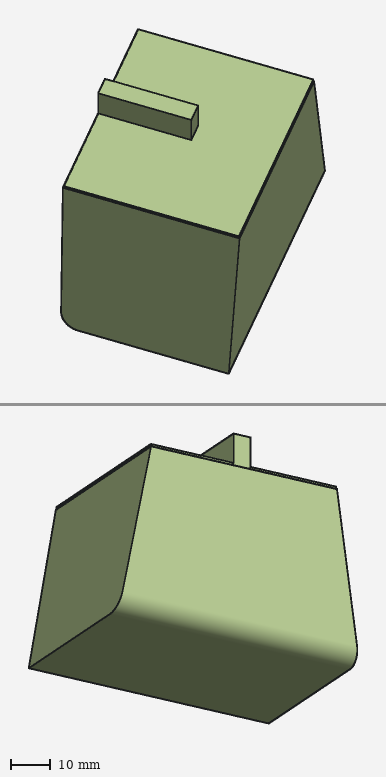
import cadquery as cq

length = 47.4
base_width = 70.0
top_width = 54.2
housing_height = 45.0
front_setback = 2.4
front_radius = 4.9

total_height = 53.75
lid_thickness = 0.7
lid_inset = 0.2
lid_side_inset = 0.1
grip_length = 25.0
grip_width = 5.0
grip_offset = 0.5

lid_length = length - 2 * lid_inset
lid_width = top_width - 2 * lid_side_inset
lid_top = housing_height + lid_thickness
grip_height = total_height - lid_top


def make_housing():
    """Block whose side walls and front wall taper."""
    side_profile = (
        cq.Workplane("XZ")
        .moveTo(front_setback, 0)
        .lineTo(length, 0)
        .lineTo(length, housing_height)
        .lineTo(0, housing_height)
        .close()
        .extrude(base_width / 2, both=True)
        .faces("<Z").edges("<X")
        .fillet(front_radius)
    )
    width_profile = (
        cq.Workplane("YZ")
        .moveTo(-base_width / 2, 0)
        .lineTo(base_width / 2, 0)
        .lineTo(top_width / 2, housing_height)
        .lineTo(-top_width / 2, housing_height)
        .close()
        .extrude(length)
    )
    return side_profile.intersect(width_profile)


def make_lid():
    """Plate on the housing with a grip flush with its front edge."""
    plate = (
        cq.Workplane("XY", origin=(lid_inset, 0, housing_height))
        .box(lid_length, lid_width, lid_thickness, centered=(False, True, False))
    )
    grip = (
        cq.Workplane("XY", origin=(lid_inset, grip_offset, lid_top))
        .box(grip_length, grip_width, grip_height, centered=(False, True, False))
    )
    return plate.union(grip)


housing = make_housing()
lid = make_lid()

result = cq.Compound.makeCompound([housing.val(), lid.val()])